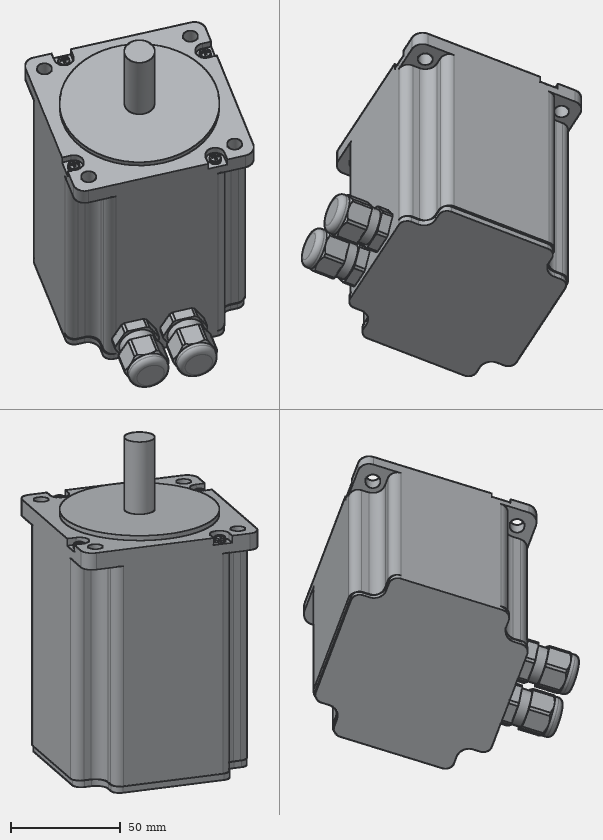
import cadquery as cq
import math

body_width = 86.0
total_height = 155.4
overall_length_x = 111.9
half_width = body_width / 2

cap_height = 3.4
flange_bottom_z = 110.0
flange_top_z = 118.1
pilot_top_z = 120.5

flange_corner_radius = 5.5
mount_hole_offset = 34.8
mount_hole_diameter = 6.8
pilot_diameter = 73.0
shaft_diameter = 14.0

scallop_radius = 5.9
body_edge_radius = 4.7
cap_inset = 0.5
cap_shift_x = 0.5
cap_shift_y = -0.5

screw_along_side = 24.4
screw_from_axis = 38.7
pocket_width = 9.0
pocket_depth = 3.4
washer_diameter = 5.5
washer_height = 1.0
head_diameter = 5.1
head_rim_height = 1.9
head_height = 2.8
recess_length = 3.3
recess_width = 0.8
recess_depth = 1.2

gland_z = 13.4
gland_center_y = -4.2
gland_spacing = 23.0
gland_across_flats = 19.0
gland_edge_flat = 1.5
gland_neck_diameter = 17.2
base_nut_length = 5.3
neck_length = 5.1
cap_nut_length = 11.0
dome_diameter = 19.0
dome_radius = 3.0
gland_length = overall_length_x - body_width


def scalloped_prism(inset, height):
    """Square prism with rounded edges beside a quarter-round scallop at each corner."""
    width = body_width - 2 * inset
    half = width / 2
    edge_radius = body_edge_radius - inset
    outside = half + scallop_radius
    inner = mount_hole_offset - scallop_radius
    arc_middle = mount_hole_offset - scallop_radius * math.sqrt(0.5)
    prism = cq.Workplane("XY").rect(width, width).extrude(height)
    for sx in (-1, 1):
        for sy in (-1, 1):
            notch = (
                cq.Workplane("XY")
                .moveTo(sx * inner, sy * mount_hole_offset)
                .threePointArc(
                    (sx * arc_middle, sy * arc_middle),
                    (sx * mount_hole_offset, sy * inner),
                )
                .lineTo(sx * outside, sy * inner)
                .lineTo(sx * outside, sy * outside)
                .lineTo(sx * inner, sy * outside)
                .close()
                .extrude(height)
            )
            prism = prism.cut(notch)
    outer_edges = prism.edges("|Z").filter(
        lambda edge: max(abs(edge.Center().x), abs(edge.Center().y)) > mount_hole_offset + edge_radius / 2
    )
    return outer_edges.fillet(edge_radius)


def make_motor():
    """Cap, body, flange, pilot and shaft stacked along Z."""
    cap = scalloped_prism(cap_inset, cap_height).translate((cap_shift_x, cap_shift_y, 0))
    body = scalloped_prism(0, flange_bottom_z - cap_height).translate((0, 0, cap_height))
    flange = (
        cq.Workplane("XY", origin=(0, 0, flange_bottom_z))
        .rect(body_width, body_width)
        .extrude(flange_top_z - flange_bottom_z)
        .edges("|Z")
        .fillet(flange_corner_radius)
        .faces(">Z")
        .workplane()
        .rect(2 * mount_hole_offset, 2 * mount_hole_offset, forConstruction=True)
        .vertices()
        .hole(mount_hole_diameter)
    )
    pilot = (
        cq.Workplane("XY", origin=(0, 0, flange_top_z))
        .circle(pilot_diameter / 2)
        .extrude(pilot_top_z - flange_top_z)
    )
    shaft = (
        cq.Workplane("XY", origin=(0, 0, pilot_top_z))
        .circle(shaft_diameter / 2)
        .extrude(total_height - pilot_top_z)
    )
    return body.union(cap).union(flange).union(pilot).union(shaft)


def make_pocket():
    """Pocket for the screw on the -Y side, open through that side."""
    floor = cq.Workplane("XY", origin=(screw_along_side, -screw_from_axis, flange_top_z - pocket_depth))
    round_end = floor.circle(pocket_width / 2).extrude(pocket_depth)
    side_opening = floor.center(0, -pocket_width / 2).rect(pocket_width, pocket_width).extrude(pocket_depth)
    return round_end.union(side_opening)


def make_screw_head():
    """Domed screw head with a cross recess on a thin washer, standing on the pocket floor on the -Y side."""
    radius = head_diameter / 2
    dome_rise = head_height - head_rim_height
    sphere_radius = (radius**2 + dome_rise**2) / (2 * dome_rise)
    floor_z = flange_top_z - pocket_depth
    washer = cq.Workplane("XY").circle(washer_diameter / 2).extrude(washer_height)
    rim = cq.Workplane("XY").circle(radius).extrude(head_height)
    ball = cq.Workplane("XY").sphere(sphere_radius).translate((0, 0, head_height - sphere_radius))
    head = rim.intersect(ball).union(washer)
    recess_plane = cq.Workplane("XY", origin=(0, 0, head_height - recess_depth))
    for length, width in ((recess_length, recess_width), (recess_width, recess_length)):
        head = head.cut(recess_plane.rect(length, width).extrude(recess_depth))
    return head.translate((screw_along_side, -screw_from_axis, floor_z))


def hex_nut(start_x, length):
    """Hexagonal prism along X with flats facing +Z and -Z and slightly flattened edges."""
    nut = (
        cq.Workplane("YZ", origin=(start_x, 0, 0))
        .polygon(6, gland_across_flats * 2 / math.sqrt(3))
        .extrude(length)
    )
    return nut.edges("|X").chamfer(gland_edge_flat / math.sqrt(3))


def make_gland():
    """Cable gland along X, starting at the motor side face."""
    neck_start = half_width + base_nut_length
    cap_nut_start = neck_start + neck_length
    dome_start = cap_nut_start + cap_nut_length
    base_nut = hex_nut(half_width, base_nut_length)
    neck = cq.Workplane("YZ", origin=(neck_start, 0, 0)).circle(gland_neck_diameter / 2).extrude(neck_length)
    nut_end_chamfer = (
        cq.Workplane("YZ", origin=(cap_nut_start, 0, 0))
        .circle(dome_diameter / 2 + cap_nut_length)
        .extrude(cap_nut_length, taper=45)
    )
    cap_nut = hex_nut(cap_nut_start, cap_nut_length).intersect(nut_end_chamfer)
    dome = (
        cq.Workplane("YZ", origin=(dome_start, 0, 0))
        .circle(dome_diameter / 2)
        .extrude(half_width + gland_length - dome_start)
        .faces(">X")
        .edges()
        .fillet(dome_radius)
    )
    return base_nut.union(neck).union(cap_nut).union(dome)


result = make_motor()

pocket = make_pocket()
screw_head = make_screw_head()
for angle in (0, 90, 180, 270):
    result = result.cut(pocket.rotate((0, 0, 0), (0, 0, 1), angle))
    result = result.union(screw_head.rotate((0, 0, 0), (0, 0, 1), angle))

gland = make_gland()
for side in (-1, 1):
    result = result.union(gland.translate((0, gland_center_y + side * gland_spacing / 2, gland_z)))